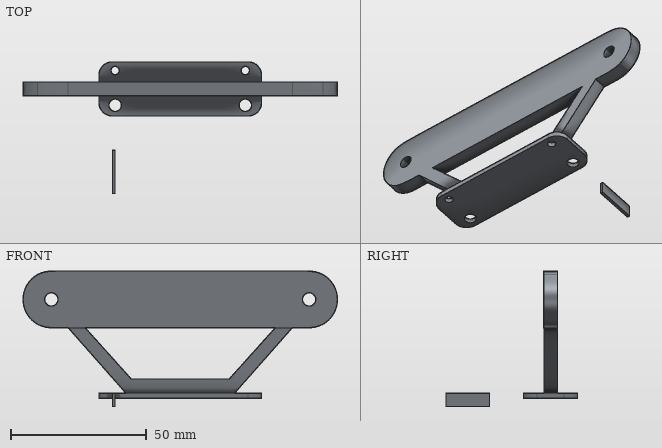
import cadquery as cq
import math

plate_length = 60.0
plate_width = 20.0
plate_thickness = 2.0
plate_corner_radius = 5.0
plate_hole_spacing = 48.0
small_hole_diameter = 3.0
small_hole_edge_distance = 3.2
large_hole_diameter = 4.5
large_hole_edge_distance = 4.0

bar_length = 115.94
bar_height = 20.98
bar_underside_z = 24.0
bar_centre_z = bar_underside_z + bar_height / 2
bar_hole_spacing = 95.0
bar_hole_diameter = 4.82

bar_thickness = 5.2
face_plate_thickness = 0.1
web_thickness = bar_thickness - face_plate_thickness
web_front_y = face_plate_thickness - bar_thickness / 2
web_back_y = web_front_y + web_thickness

core_inset = 0.04
core_half_length = bar_length / 2 - core_inset
core_half_height = bar_height / 2 - core_inset
core_straight_half_length = 41.4
core_round_start_x = 52.55

cradle_foot_half_length = 20.1
cradle_floor_half_length = 18.1
cradle_floor_thickness = 5.25
cradle_top_z = bar_underside_z + core_inset
arm_outer_reach = 41.3
arm_inner_reach = 35.0

strip_thickness = 1.0
strip_length = 16.12
strip_height = 5.0
strip_left_x = -25.0
strip_front_y = -38.62


def make_plate():
    plate = (
        cq.Workplane("XY")
        .box(plate_length, plate_width, plate_thickness, centered=(True, True, False))
        .translate((0, 0, -plate_thickness))
        .edges("|Z")
        .fillet(plate_corner_radius)
    )
    hole_rows = [
        (small_hole_diameter, plate_width / 2 - small_hole_edge_distance),
        (large_hole_diameter, large_hole_edge_distance - plate_width / 2),
    ]
    for diameter, row_y in hole_rows:
        holes = (
            cq.Workplane("XY", origin=(0, row_y, 0))
            .rarray(plate_hole_spacing, 1, 2, 1)
            .circle(diameter / 2)
            .extrude(-plate_thickness)
        )
        plate = plate.cut(holes)
    return plate


def make_bar_core():
    round_centre_x = core_half_length - core_half_height
    round_run = core_round_start_x - round_centre_x
    round_start_z = math.sqrt(core_half_height**2 - round_run**2)

    straight_x = core_straight_half_length
    round_x = core_round_start_x
    return (
        cq.Workplane("XZ", origin=(0, web_back_y, bar_centre_z))
        .moveTo(-straight_x, core_half_height)
        .lineTo(straight_x, core_half_height)
        .spline([(round_x, round_start_z)], [(1, 0), (round_start_z, -round_run)], includeCurrent=True)
        .threePointArc((core_half_length, 0), (round_x, -round_start_z))
        .spline([(straight_x, -core_half_height)], [(-round_start_z, -round_run), (-1, 0)], includeCurrent=True)
        .lineTo(-straight_x, -core_half_height)
        .spline([(-round_x, -round_start_z)], [(-1, 0), (-round_start_z, round_run)], includeCurrent=True)
        .threePointArc((-core_half_length, 0), (-round_x, round_start_z))
        .spline([(-straight_x, core_half_height)], [(round_start_z, round_run), (1, 0)], includeCurrent=True)
        .close()
        .extrude(web_thickness)
    )


def make_face_plate():
    return (
        cq.Workplane("XZ", origin=(0, web_front_y, bar_centre_z))
        .slot2D(bar_length, bar_height)
        .extrude(face_plate_thickness)
    )


def make_bar():
    holes = (
        cq.Workplane("XZ", origin=(0, web_back_y, bar_centre_z))
        .rarray(bar_hole_spacing, 1, 2, 1)
        .circle(bar_hole_diameter / 2)
        .extrude(bar_thickness)
    )
    return make_bar_core().union(make_face_plate()).cut(holes)


def make_cradle():
    outline = [
        (-cradle_foot_half_length, 0),
        (cradle_foot_half_length, 0),
        (arm_outer_reach, cradle_top_z),
        (arm_inner_reach, cradle_top_z),
        (cradle_floor_half_length, cradle_floor_thickness),
        (-cradle_floor_half_length, cradle_floor_thickness),
        (-arm_inner_reach, cradle_top_z),
        (-arm_outer_reach, cradle_top_z),
    ]
    web_plane = cq.Workplane("XZ", origin=(0, web_back_y, 0))
    return web_plane.polyline(outline).close().extrude(web_thickness)


def make_strip():
    return (
        cq.Workplane("XY")
        .box(strip_thickness, strip_length, strip_height, centered=False)
        .translate((strip_left_x, strip_front_y, -strip_height))
    )


bracket = make_plate().union(make_cradle()).union(make_bar())
strip = make_strip()

result = cq.Compound.makeCompound([bracket.val(), strip.val()])